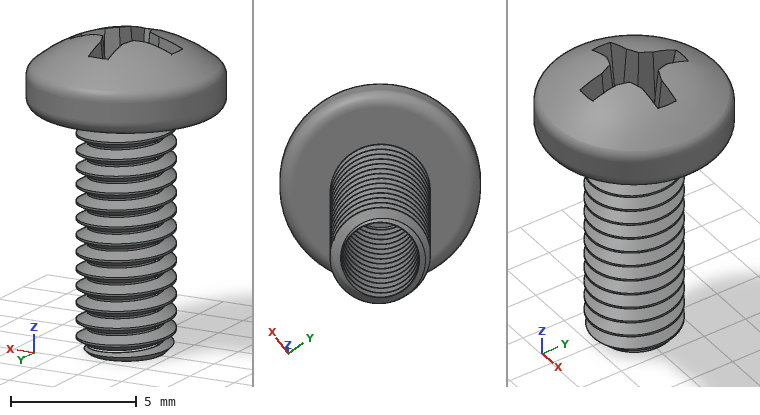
import cadquery as cq
import math

SHANK_LENGTH = 10.0
HEAD_RADIUS = 4.0

RIM_FILLET = 0.55
RIM_TOP = SHANK_LENGTH + 1.38
SHOULDER_RADIUS = 0.56
SHOULDER_RISE = 0.43
OVERLAP = 0.13

TURNS_ALONG_SHANK = 14.3
PITCH = SHANK_LENGTH / TURNS_ALONG_SHANK
MAJOR_RADIUS = HEAD_RADIUS / 2
THREAD_DEPTH = 0.43
FLANK_ANGLE = 30
CREST_WIDTH = PITCH / 8
CREST_DROP = 0.38
ROOT_OVERLAP = 0.03

RECESS_DEPTH = 2.49
FLOOR_WING_HALF = 0.26
FLOOR_CORNER = 0.52
FLOOR_WING_START = 1.19
FLOOR_END_RADIUS = 1.76
MOUTH_END_RADIUS = 2.35
MOUTH_WING_GAIN = 0.22

shoulder_angle = math.asin(SHOULDER_RISE / SHOULDER_RADIUS)
shoulder_centre = HEAD_RADIUS - SHOULDER_RADIUS
dome_edge_radius = shoulder_centre + SHOULDER_RADIUS * math.cos(shoulder_angle)
dome_edge_z = RIM_TOP + SHOULDER_RISE
dome_radius = dome_edge_radius / math.cos(shoulder_angle)
dome_apex_z = dome_edge_z + dome_radius * (1 - math.sin(shoulder_angle))
root_radius = MAJOR_RADIUS - THREAD_DEPTH


def dome_z(radius):
    """Height of the dome surface at a distance from the axis."""
    return dome_apex_z - dome_radius + math.sqrt(dome_radius**2 - radius**2)


def make_head():
    """Revolved pan head, without its recess."""
    half_angle = shoulder_angle / 2
    shoulder_mid = (
        shoulder_centre + SHOULDER_RADIUS * math.cos(half_angle),
        RIM_TOP + SHOULDER_RADIUS * math.sin(half_angle),
    )
    dome_mid = (dome_edge_radius / 2, dome_z(dome_edge_radius / 2))
    fillet_inset = RIM_FILLET * (1 - math.sqrt(0.5))
    return (
        cq.Workplane("XZ")
        .moveTo(0, SHANK_LENGTH)
        .lineTo(HEAD_RADIUS - RIM_FILLET, SHANK_LENGTH)
        .threePointArc(
            (HEAD_RADIUS - fillet_inset, SHANK_LENGTH + fillet_inset),
            (HEAD_RADIUS, SHANK_LENGTH + RIM_FILLET),
        )
        .lineTo(HEAD_RADIUS, RIM_TOP)
        .threePointArc(shoulder_mid, (dome_edge_radius, dome_edge_z))
        .threePointArc(dome_mid, (0, dome_apex_z))
        .close()
        .revolve(360, (0, 0), (0, 1))
    )


def make_recess():
    """Cross with drafted sides whose wing ends lie on a cone."""
    floor_z = dome_apex_z - RECESS_DEPTH
    mouth_end_z = dome_z(MOUTH_END_RADIUS)
    draft = math.degrees(math.atan(MOUTH_WING_GAIN / RECESS_DEPTH))

    quarter = [
        (MOUTH_END_RADIUS, FLOOR_WING_HALF),
        (FLOOR_WING_START, FLOOR_WING_HALF),
        (FLOOR_CORNER, FLOOR_CORNER),
        (FLOOR_WING_HALF, FLOOR_WING_START),
        (FLOOR_WING_HALF, MOUTH_END_RADIUS),
    ]
    outline = []
    for turn in range(4):
        cosine = round(math.cos(turn * math.pi / 2))
        sine = round(math.sin(turn * math.pi / 2))
        outline += [(cosine * x - sine * y, sine * x + cosine * y) for x, y in quarter]
    cross = (
        cq.Workplane("XY", origin=(0, 0, floor_z))
        .polyline(outline)
        .close()
        .extrude(RECESS_DEPTH, taper=-draft)
    )

    cone_slope = (MOUTH_END_RADIUS - FLOOR_END_RADIUS) / (mouth_end_z - floor_z)
    cone_top_radius = FLOOR_END_RADIUS + cone_slope * RECESS_DEPTH
    cone = cq.Workplane(
        cq.Solid.makeCone(FLOOR_END_RADIUS, cone_top_radius, RECESS_DEPTH, cq.Vector(0, 0, floor_z))
    )
    return cross.intersect(cone)


def make_shank():
    """Core with a right-hand ridge, running into the head and chamfered at the tip."""
    core = cq.Workplane("XY").circle(root_radius).extrude(SHANK_LENGTH + OVERLAP)

    turns = math.ceil(TURNS_ALONG_SHANK) + 1
    start_z = SHANK_LENGTH - CREST_DROP - (turns - 1) * PITCH
    base_radius = root_radius - ROOT_OVERLAP
    crest_half = CREST_WIDTH / 2
    base_half = crest_half + (MAJOR_RADIUS - base_radius) * math.tan(math.radians(FLANK_ANGLE))
    helix = cq.Wire.makeHelix(PITCH, turns * PITCH, root_radius, cq.Vector(0, 0, start_z))
    ridge = (
        cq.Workplane("XZ")
        .polyline(
            [
                (base_radius, start_z - base_half),
                (MAJOR_RADIUS, start_z - crest_half),
                (MAJOR_RADIUS, start_z + crest_half),
                (base_radius, start_z + base_half),
            ]
        )
        .close()
        .sweep(cq.Workplane(helix), isFrenet=True)
    )

    envelope_height = start_z + (turns + 1) * PITCH
    envelope = cq.Workplane(
        cq.Solid.makeCone(root_radius, root_radius + envelope_height, envelope_height)
    )
    return core.union(ridge.intersect(envelope))


result = make_head().union(make_shank()).cut(make_recess())